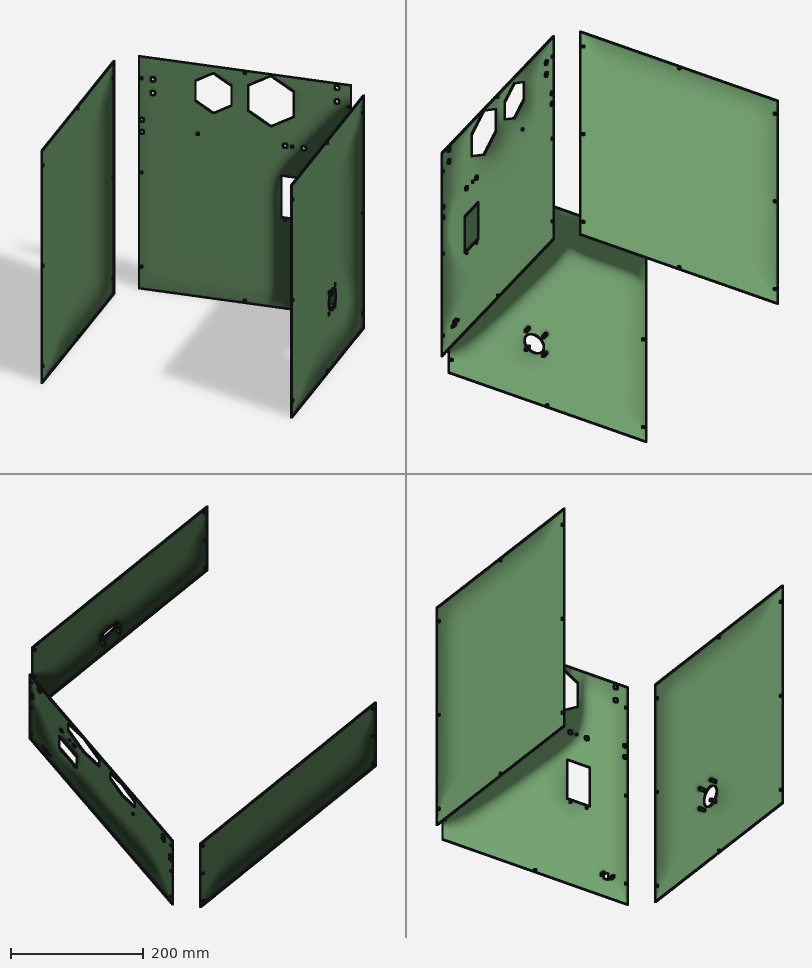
import cadquery as cq
import math

TOTAL_X = 398.0
TOTAL_Y = 374.0
HEIGHT = 385.0
THICKNESS = 1.0

BACK_WIDTH = 337.0
SIDE_DEPTH = 344.3
SIDE_FRONT_Y = -TOTAL_Y / 2
SIDE_MIDDLE_Y = SIDE_FRONT_Y + SIDE_DEPTH / 2
SIDE_OUTER_X = TOTAL_X / 2
BACK_OUTER_Y = TOTAL_Y / 2

SCREW_DIAMETER = 3.5
SIDE_SCREW_INSET = 5.0
SIDE_SCREW_ROW_Z = 166.5
BACK_SCREW_INSET = 3.5
BACK_SCREW_ROW_Z = 156.0
END_SCREW_INSET = 3.5

HEX_Z = 148.0
SMALL_HEX_X = -50.0
SMALL_HEX_FLATS = 57.5
LARGE_HEX_X = 41.5
LARGE_HEX_FLATS = 72.5

WINDOW_X = 79.0
WINDOW_Z = -7.5
WINDOW_WIDTH = 41.0
WINDOW_HEIGHT = 69.0
WINDOW_SCREW_SPACING = 30.0
WINDOW_SCREW_Z = -46.0
WINDOW_SCREW_DIAMETER = 3.0

ROW_Z = 77.2
ROW_SCREW_SPACING = 150.0
ROW_CABLE_DIAMETER = 7.0

CORNER_CABLE_DIAMETER = 7.5
CORNER_CABLE_SPACING = 22.5
CORNER_CABLE_X = 146.5
LEFT_CABLE_Z = 145.5
RIGHT_CABLE_Z = 174.0
EDGE_HOLE_DIAMETER = 6.5
EDGE_HOLE_X = 163.5
EDGE_HOLE_Z = 77.5
EDGE_HOLE_SPACING = 20.0

SOCKET_X = 129.0
SOCKET_Z = -155.2
SOCKET_WIDTH = 8.5
SOCKET_HEIGHT = 10.7
SOCKET_POST_Z = -156.0
SOCKET_POST_SPACING = 17.5
SOCKET_POST_LENGTH = 6.5

VENT_Y = 8.0
VENT_Z = -80.8
VENT_DIAMETER = 34.0
VENT_POST_SPACING_Y = 30.2
VENT_POST_SPACING_Z = 35.5
VENT_POST_LENGTH = 9.5

POST_DIAMETER = 4.5


def pair(middle, spacing):
    """The two positions at equal distances from the middle."""
    return [middle - spacing / 2, middle + spacing / 2]


def screw_points(width, inset, row_z):
    """Three screws up each vertical edge and one at the middle of each horizontal edge."""
    edge = width / 2 - inset
    end_z = HEIGHT / 2 - END_SCREW_INSET
    points = [(side * edge, z) for side in (-1, 1) for z in (-row_z, 0, row_z)]
    return points + [(0, -end_z), (0, end_z)]


def back_face(x=0, z=0):
    """Workplane on the outer back face, at x and z; extruding it positively runs toward -Y."""
    return cq.Workplane("XZ", origin=(x, BACK_OUTER_Y, z))


def back_holes(points, diameter):
    return back_face().pushPoints(points).circle(diameter / 2).extrude(THICKNESS)


def back_hexagon(x, flats):
    """Hexagonal cutter with its corners at the top and bottom."""
    corner_diameter = flats / math.cos(math.pi / 6)
    hexagon = back_face(x, HEX_Z).transformed(rotate=(0, 0, 90))
    return hexagon.polygon(6, corner_diameter).extrude(THICKNESS)


def make_back_panel():
    panel = back_face().rect(BACK_WIDTH, HEIGHT).extrude(THICKNESS)
    edge_screws = screw_points(BACK_WIDTH, BACK_SCREW_INSET, BACK_SCREW_ROW_Z)
    panel = panel.cut(back_holes(edge_screws, SCREW_DIAMETER))

    panel = panel.cut(back_hexagon(SMALL_HEX_X, SMALL_HEX_FLATS))
    panel = panel.cut(back_hexagon(LARGE_HEX_X, LARGE_HEX_FLATS))

    window = back_face(WINDOW_X, WINDOW_Z).rect(WINDOW_WIDTH, WINDOW_HEIGHT).extrude(THICKNESS)
    panel = panel.cut(window)
    window_columns = pair(WINDOW_X, WINDOW_SCREW_SPACING)
    panel = panel.cut(back_holes([(x, WINDOW_SCREW_Z) for x in window_columns], WINDOW_SCREW_DIAMETER))

    panel = panel.cut(back_holes([(x, ROW_Z) for x in window_columns], ROW_CABLE_DIAMETER))
    row_screws = [(x, ROW_Z) for x in pair(0, ROW_SCREW_SPACING)]
    panel = panel.cut(back_holes(row_screws, SCREW_DIAMETER))

    corner_cables = [(-CORNER_CABLE_X, z) for z in pair(LEFT_CABLE_Z, CORNER_CABLE_SPACING)]
    corner_cables += [(CORNER_CABLE_X, z) for z in pair(RIGHT_CABLE_Z, CORNER_CABLE_SPACING)]
    panel = panel.cut(back_holes(corner_cables, CORNER_CABLE_DIAMETER))

    edge_holes = [(x, z) for x in (-EDGE_HOLE_X, EDGE_HOLE_X) for z in pair(EDGE_HOLE_Z, EDGE_HOLE_SPACING)]
    panel = panel.cut(back_holes(edge_holes, EDGE_HOLE_DIAMETER))

    socket = back_face(SOCKET_X, SOCKET_Z).rect(SOCKET_WIDTH, SOCKET_HEIGHT).extrude(THICKNESS)
    panel = panel.cut(socket)
    posts = (
        back_face()
        .pushPoints([(x, SOCKET_POST_Z) for x in pair(SOCKET_X, SOCKET_POST_SPACING)])
        .circle(POST_DIAMETER / 2)
        .extrude(THICKNESS + SOCKET_POST_LENGTH)
    )
    return panel.union(posts)


def make_side_panel(left_x):
    """Plain side panel with edge screws; left_x is its face toward -X."""
    plane = cq.Workplane("YZ", origin=(left_x, SIDE_MIDDLE_Y, 0))
    panel = plane.rect(SIDE_DEPTH, HEIGHT).extrude(THICKNESS)
    points = screw_points(SIDE_DEPTH, SIDE_SCREW_INSET, SIDE_SCREW_ROW_Z)
    screws = plane.pushPoints(points).circle(SCREW_DIAMETER / 2).extrude(THICKNESS)
    return panel.cut(screws)


def make_right_panel():
    """Side panel with a vent opening and four standoffs on its inner face."""
    panel = make_side_panel(SIDE_OUTER_X - THICKNESS)
    outer_face = cq.Workplane("YZ", origin=(SIDE_OUTER_X, VENT_Y, VENT_Z))
    vent = outer_face.circle(VENT_DIAMETER / 2).extrude(-THICKNESS)
    posts = (
        outer_face.rect(VENT_POST_SPACING_Y, VENT_POST_SPACING_Z, forConstruction=True)
        .vertices()
        .circle(POST_DIAMETER / 2)
        .extrude(-(THICKNESS + VENT_POST_LENGTH))
    )
    return panel.cut(vent).union(posts)


back_panel = make_back_panel()
left_panel = make_side_panel(-SIDE_OUTER_X)
right_panel = make_right_panel()

result = cq.Compound.makeCompound([back_panel.val(), left_panel.val(), right_panel.val()])